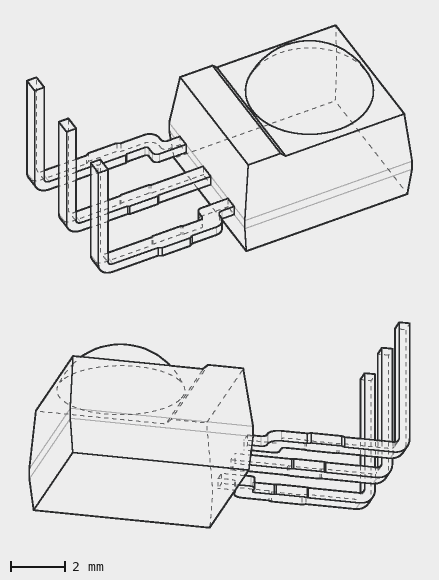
import cadquery as cq
import math

BODY_WIDTH = 6.0
BODY_DEPTH = 6.95
BAND_BOTTOM = 1.31
LEAD_THICKNESS = 0.4
BAND_TOP = BAND_BOTTOM + LEAD_THICKNESS
DECK_HEIGHT = 3.91
STEP_HEIGHT = 4.1
STEP_RAMP_FRONT = 1.65
STEP_RAMP_BACK = 1.84
BASE_INSET = 0.13
TOP_INSET = 0.3
TOP_BACK_INSET = 0.2

LENS_RADIUS = 2.36
LENS_HEIGHT = 1.62
LENS_CENTER_Y = 4.26

TOTAL_LENGTH = 12.95
LEAD_TOP = 6.5
LEAD_PITCH = 2.53
LEAD_WIDTH = 0.62
LEAD_TIP_Y = BODY_DEPTH - TOTAL_LENGTH
BEND_INNER_RADIUS = 0.2

SHOULDER_START = -2.23
SHOULDER_END = -3.39
SMALL_SHOULDER = 0.04
LARGE_SHOULDER = 0.08
SHOULDER_SLOPE = 1.6

NECK_INNER_X = 1.66
NECK_OUTER_X = 2.15
JOG_BACK_Y = -0.7
JOG_FRONT_Y = -1.31
JOG_OUTER_RADIUS = 0.4
JOG_NECK_RADIUS = 0.2
JOG_INNER_RADIUS = 0.1


def tapered_block(z_start, z_end, start_insets, end_insets):
    """Loft between two rectangles; insets are given as (side, front, back)."""
    def outline(insets):
        side, front, back = insets
        half_width = BODY_WIDTH / 2 - side
        return [(-half_width, front), (half_width, front),
                (half_width, BODY_DEPTH - back), (-half_width, BODY_DEPTH - back)]

    return (
        cq.Workplane("XY").workplane(offset=z_start).polyline(outline(start_insets)).close()
        .workplane(offset=z_end - z_start).polyline(outline(end_insets)).close()
        .loft(ruled=True, combine=True)
    )


def make_lens():
    """Spherical cap resting on the deck."""
    sphere_radius = (LENS_RADIUS ** 2 + LENS_HEIGHT ** 2) / (2 * LENS_HEIGHT)
    half_angle = math.asin(LENS_RADIUS / sphere_radius) / 2
    mid_radius = sphere_radius * math.sin(half_angle)
    mid_height = LENS_HEIGHT - sphere_radius * (1 - math.cos(half_angle))
    return (
        cq.Workplane("XZ")
        .lineTo(LENS_RADIUS, 0)
        .threePointArc((mid_radius, mid_height), (0, LENS_HEIGHT))
        .close()
        .revolve(360, (0, 0), (0, 1))
        .translate((0, LENS_CENTER_Y, DECK_HEIGHT))
    )


def make_housing():
    no_inset = (0, 0, 0)
    base_insets = (BASE_INSET, BASE_INSET, BASE_INSET)
    top_insets = (TOP_INSET, TOP_INSET, TOP_BACK_INSET)
    base = tapered_block(0, BAND_BOTTOM, base_insets, no_inset)
    band = tapered_block(BAND_BOTTOM, BAND_TOP, no_inset, no_inset)
    top = tapered_block(BAND_TOP, STEP_HEIGHT, no_inset, top_insets)
    deck_cut = (
        cq.Workplane("YZ")
        .polyline([(STEP_RAMP_FRONT, STEP_HEIGHT), (STEP_RAMP_BACK, DECK_HEIGHT),
                   (BODY_DEPTH, DECK_HEIGHT), (BODY_DEPTH, STEP_HEIGHT)])
        .close()
        .extrude(BODY_WIDTH / 2, both=True)
    )
    return base.union(band).union(top.cut(deck_cut)).union(make_lens())


def bent_strip():
    """L-shaped strip as wide as the housing, running out of the housing and up."""
    outer_radius = BEND_INNER_RADIUS + LEAD_THICKNESS
    inner_y = LEAD_TIP_Y + LEAD_THICKNESS
    strip = (
        cq.Workplane("YZ")
        .polyline([(0, BAND_BOTTOM), (LEAD_TIP_Y, BAND_BOTTOM), (LEAD_TIP_Y, LEAD_TOP),
                   (inner_y, LEAD_TOP), (inner_y, BAND_TOP), (0, BAND_TOP)])
        .close()
        .extrude(BODY_WIDTH / 2, both=True)
    )
    outer_corner = cq.selectors.NearestToPointSelector((0, LEAD_TIP_Y, BAND_BOTTOM))
    strip = strip.edges("|X").edges(outer_corner).fillet(outer_radius)
    inner_corner = cq.selectors.NearestToPointSelector((0, inner_y, BAND_TOP))
    return strip.edges("|X").edges(inner_corner).fillet(BEND_INNER_RADIUS)


def shoulder_points(edge_x, widening):
    """Points along one lead edge, from the housing outwards; widening is signed along X."""
    ramp = abs(widening) * SHOULDER_SLOPE
    return [(edge_x, SHOULDER_START + ramp), (edge_x + widening, SHOULDER_START),
            (edge_x + widening, SHOULDER_END), (edge_x, SHOULDER_END - ramp)]


def plan_prism(outline):
    """Upright prism with the given plan outline, tall enough to trim a bent strip."""
    return cq.Workplane("XY").polyline(outline).close().extrude(LEAD_TOP)


def make_middle_lead():
    half_width = LEAD_WIDTH / 2
    left_edge = shoulder_points(-half_width, -SMALL_SHOULDER)
    right_edge = shoulder_points(half_width, SMALL_SHOULDER)
    outline = [(-half_width, 0), *left_edge, (-half_width, LEAD_TIP_Y),
               (half_width, LEAD_TIP_Y), *reversed(right_edge), (half_width, 0)]
    return bent_strip().intersect(plan_prism(outline))


def make_outer_lead(side):
    """Jogged lead on the +X (side = 1) or -X (side = -1) side."""
    inner_x = LEAD_PITCH - LEAD_WIDTH / 2
    outer_x = LEAD_PITCH + LEAD_WIDTH / 2
    inner_edge = shoulder_points(inner_x, -SMALL_SHOULDER)
    outer_edge = shoulder_points(outer_x, LARGE_SHOULDER)
    outline = [(NECK_INNER_X, 0), (NECK_INNER_X, JOG_FRONT_Y), (inner_x, JOG_FRONT_Y),
               *inner_edge, (inner_x, LEAD_TIP_Y), (outer_x, LEAD_TIP_Y),
               *reversed(outer_edge), (outer_x, JOG_BACK_Y),
               (NECK_OUTER_X, JOG_BACK_Y), (NECK_OUTER_X, 0)]
    plan = plan_prism(outline)
    jog_corners = [
        (NECK_INNER_X, JOG_FRONT_Y, JOG_NECK_RADIUS),
        (inner_x, JOG_FRONT_Y, JOG_INNER_RADIUS),
        (outer_x, JOG_BACK_Y, JOG_OUTER_RADIUS),
        (NECK_OUTER_X, JOG_BACK_Y, JOG_NECK_RADIUS),
    ]
    for x, y, radius in jog_corners:
        corner = cq.selectors.NearestToPointSelector((x, y, LEAD_TOP / 2))
        plan = plan.edges("|Z").edges(corner).fillet(radius)
    lead = bent_strip().intersect(plan)
    return lead if side > 0 else lead.mirror("YZ")


housing = make_housing()
middle_lead = make_middle_lead()
outer_leads = [make_outer_lead(side) for side in (-1, 1)]

result = cq.Compound.makeCompound([
    housing.val(),
    middle_lead.val(),
    *[lead.val() for lead in outer_leads],
])